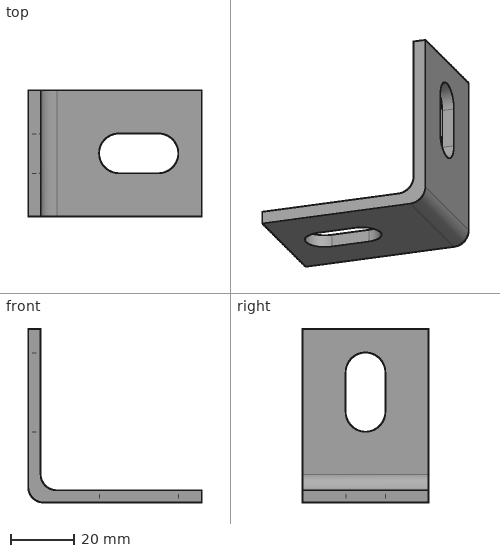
import cadquery as cq

leg_length = 55.0
width = 40.0
thickness = 4.0
outer_bend_radius = 5.0
inner_bend_radius = 5.0
slot_length = 25.0
slot_width = 12.5
slot_distance = 35.0


def make_angle():
    """L-shaped plate, centred on Y, with a rounded bend along the Y axis."""
    profile = [
        (0, 0),
        (leg_length, 0),
        (leg_length, thickness),
        (thickness, thickness),
        (thickness, leg_length),
        (0, leg_length),
    ]
    angle = cq.Workplane("XZ").polyline(profile).close().extrude(width / 2, both=True)
    outer_corner = cq.NearestToPointSelector((0, 0, 0))
    inner_corner = cq.NearestToPointSelector((thickness, 0, thickness))
    angle = angle.edges("|Y").edges(inner_corner).fillet(inner_bend_radius)
    return angle.edges("|Y").edges(outer_corner).fillet(outer_bend_radius)


def slot_cutter(plane, center, angle):
    """Slot-shaped bar running one plate thickness along the plane normal."""
    return (
        cq.Workplane(plane)
        .center(*center)
        .slot2D(slot_length, slot_width, angle)
        .extrude(thickness)
    )


horizontal_slot = slot_cutter("XY", (slot_distance, 0), 0)
vertical_slot = slot_cutter("YZ", (0, slot_distance), 90)

result = make_angle().cut(horizontal_slot).cut(vertical_slot)